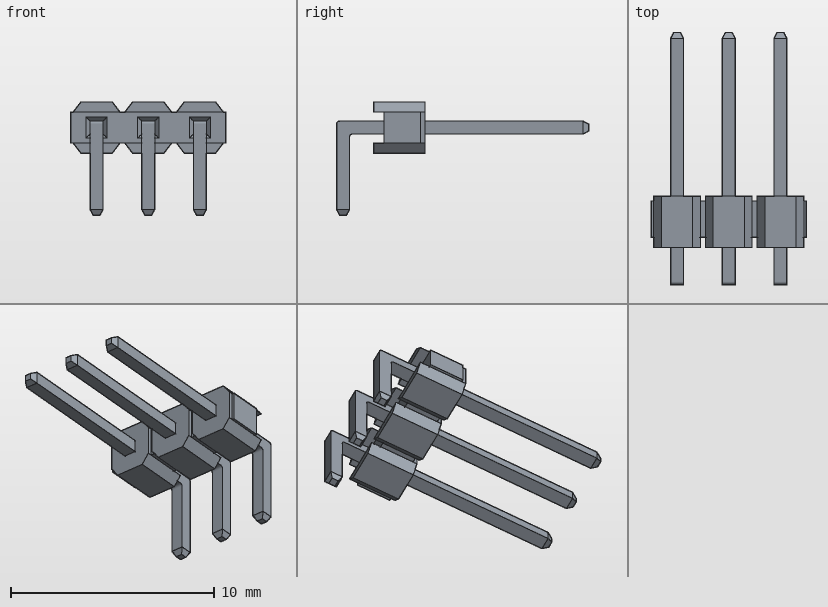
import cadquery as cq

PIN_COUNT = 3
PITCH = 7.63 / PIN_COUNT
OVERALL_LENGTH = 12.42
OVERALL_HEIGHT = 5.59

HOUSING_SIZE = 2.53
RAIL_HEIGHT = 1.53
RAIL_LENGTH = PIN_COUNT * PITCH
LOBE_WIDTH = 2.31
LOBE_FLAT_WIDTH = 1.54
RAIL_FRONT_SETBACK = 0.51
RAIL_BACK_SETBACK = 0.22

HOUSING_FRONT = -HOUSING_SIZE / 2
HOUSING_BACK = HOUSING_SIZE / 2
RAIL_FRONT = HOUSING_FRONT + RAIL_FRONT_SETBACK
RAIL_BACK = HOUSING_BACK - RAIL_BACK_SETBACK

PIN_WIDTH = 0.65
PIN_FRONT_REACH = 1.83
OUTER_BEND_RADIUS = 0.15
INNER_BEND_RADIUS = 0.14
TIP_WIDTH = 0.34
LONG_TIP_LENGTH = 0.3
SHORT_TIP_LENGTH = 0.3

PIN_FRONT = HOUSING_FRONT - PIN_FRONT_REACH
PIN_BACK = PIN_FRONT + OVERALL_LENGTH
PIN_TOP = PIN_WIDTH / 2
PIN_UNDERSIDE = -PIN_WIDTH / 2
PIN_BOTTOM = HOUSING_SIZE / 2 - OVERALL_HEIGHT
LEG_INNER_FACE = PIN_FRONT + PIN_WIDTH
LEG_AXIS_Y = PIN_FRONT + PIN_WIDTH / 2
LONG_SHOULDER = PIN_BACK - LONG_TIP_LENGTH
SHORT_SHOULDER = PIN_BOTTOM + SHORT_TIP_LENGTH

RECESS_WIDTH = 1.04
RECESS_DEPTH = (RECESS_WIDTH - PIN_WIDTH) / 2

PIN_POSITIONS = [(i - (PIN_COUNT - 1) / 2) * PITCH for i in range(PIN_COUNT)]


def front_plane(x, y, z):
    """Plane facing -Y, so that positive extrusions run toward -Y."""
    return cq.Plane(origin=(x, y, z), xDir=(1, 0, 0), normal=(0, -1, 0))


def frustum(plane, base_width, end_width, height):
    """Square frustum growing from the plane along its normal."""
    return (
        cq.Workplane(plane)
        .rect(base_width, base_width)
        .workplane(offset=height)
        .rect(end_width, end_width)
        .loft(ruled=True)
    )


def make_lobe(x):
    """Eight-sided prism around one pin, running the full housing depth."""
    half_width = LOBE_WIDTH / 2
    half_flat = LOBE_FLAT_WIDTH / 2
    half_rail = RAIL_HEIGHT / 2
    half_height = HOUSING_SIZE / 2
    outline = [
        (-half_width, -half_rail),
        (-half_flat, -half_height),
        (half_flat, -half_height),
        (half_width, -half_rail),
        (half_width, half_rail),
        (half_flat, half_height),
        (-half_flat, half_height),
        (-half_width, half_rail),
    ]
    return cq.Workplane(front_plane(x, HOUSING_BACK, 0)).polyline(outline).close().extrude(HOUSING_SIZE)


def make_pin_passage(x):
    """Square hole for one pin and the tapered recess at its front end."""
    hole = (
        cq.Workplane(front_plane(x, HOUSING_BACK, 0))
        .rect(PIN_WIDTH, PIN_WIDTH)
        .extrude(HOUSING_SIZE)
    )
    recess_floor = front_plane(x, RAIL_FRONT + RECESS_DEPTH, 0)
    return hole.union(frustum(recess_floor, PIN_WIDTH, RECESS_WIDTH, RECESS_DEPTH))


def make_housing():
    """Lobes joined by a rail, with an open channel along the front."""
    rail_depth = RAIL_BACK - RAIL_FRONT
    rail = cq.Workplane(front_plane(0, RAIL_BACK, 0)).rect(RAIL_LENGTH, RAIL_HEIGHT).extrude(rail_depth)
    channel_start = front_plane(0, RAIL_FRONT, 0)
    channel = cq.Workplane(channel_start).rect(RAIL_LENGTH, RAIL_HEIGHT).extrude(RAIL_FRONT_SETBACK)
    housing = rail
    for x in PIN_POSITIONS:
        housing = housing.union(make_lobe(x))
    housing = housing.cut(channel)
    for x in PIN_POSITIONS:
        housing = housing.cut(make_pin_passage(x))
    return housing


def make_pin(x):
    """Square pin bent down at the front, with a tapered tip at both ends."""
    side_plane = cq.Plane(origin=(x, 0, 0), xDir=(0, 1, 0), normal=(1, 0, 0))
    shaft = (
        cq.Workplane(side_plane)
        .moveTo(LONG_SHOULDER, PIN_TOP)
        .lineTo(PIN_FRONT + OUTER_BEND_RADIUS, PIN_TOP)
        .radiusArc((PIN_FRONT, PIN_TOP - OUTER_BEND_RADIUS), -OUTER_BEND_RADIUS)
        .lineTo(PIN_FRONT, SHORT_SHOULDER)
        .lineTo(LEG_INNER_FACE, SHORT_SHOULDER)
        .lineTo(LEG_INNER_FACE, PIN_UNDERSIDE - INNER_BEND_RADIUS)
        .radiusArc((LEG_INNER_FACE + INNER_BEND_RADIUS, PIN_UNDERSIDE), INNER_BEND_RADIUS)
        .lineTo(LONG_SHOULDER, PIN_UNDERSIDE)
        .close()
        .extrude(PIN_WIDTH / 2, both=True)
    )
    back_plane = cq.Plane(origin=(x, LONG_SHOULDER, 0), xDir=(1, 0, 0), normal=(0, 1, 0))
    down_plane = cq.Plane(origin=(x, LEG_AXIS_Y, SHORT_SHOULDER), xDir=(1, 0, 0), normal=(0, 0, -1))
    long_tip = frustum(back_plane, PIN_WIDTH, TIP_WIDTH, LONG_TIP_LENGTH)
    short_tip = frustum(down_plane, PIN_WIDTH, TIP_WIDTH, SHORT_TIP_LENGTH)
    return shaft.union(long_tip).union(short_tip)


housing = make_housing()
pins = [make_pin(x) for x in PIN_POSITIONS]

result = cq.Compound.makeCompound([housing.solids().val(), *[pin.solids().val() for pin in pins]])